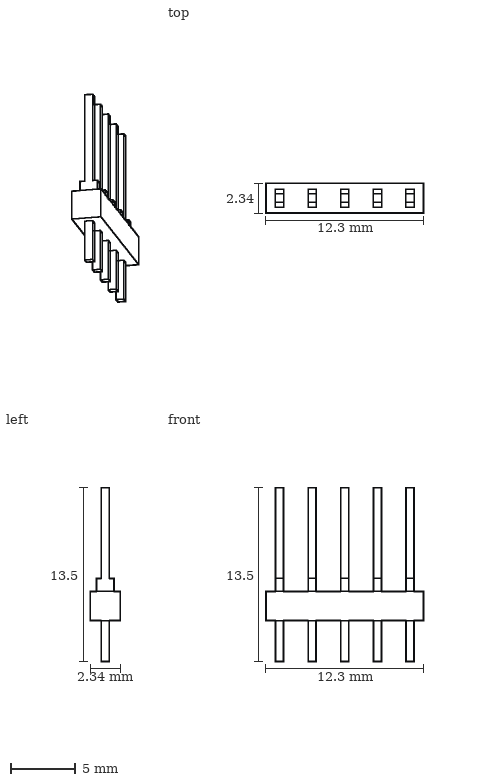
import cadquery as cq

pin_count = 5
pin_pitch = 2.54
pin_size = 0.64
pin_length = 13.54
tail_length = 3.18

housing_length = 12.29
housing_width = 2.34
housing_height = 2.29

shoulder_width = 1.40
shoulder_height = 1.00


def make_housing():
    """Rectangular housing with its underside at Z = 0."""
    return cq.Workplane("XY").box(
        housing_length, housing_width, housing_height, centered=(True, True, False)
    )


def make_pin(x):
    """Square pin running through the housing, with shoulders in Y resting on the housing top."""
    pin = (
        cq.Workplane("XY")
        .box(pin_size, pin_size, pin_length, centered=(True, True, False))
        .translate((x, 0, -tail_length))
    )
    shoulder = (
        cq.Workplane("XY")
        .box(pin_size, shoulder_width, shoulder_height, centered=(True, True, False))
        .translate((x, 0, housing_height))
    )
    return pin.union(shoulder)


result = make_housing()
first_pin_x = -pin_pitch * (pin_count - 1) / 2
for index in range(pin_count):
    result = result.union(make_pin(first_pin_x + index * pin_pitch))